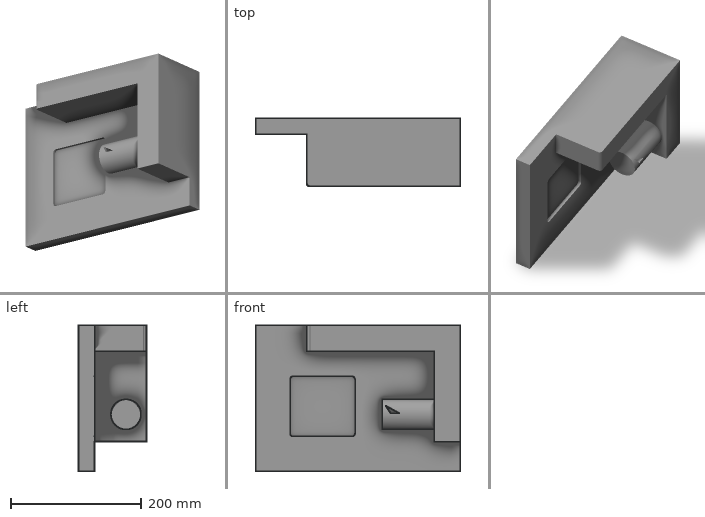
import cadquery as cq


plate_length = 315.0
plate_height = 225.0
plate_thickness = 25.0

overall_depth = 105.0
arm_start_x = 78.5
arm_height = 40.0
arm_corner_radius = 5.0
post_width = 40.5
post_bottom_z = 46.0

pin_diameter = 46.26
pin_length = 80.0
pin_center_y = 31.8
pin_center_z = 87.7

slot_lower_z = 89.5
slot_lower_left_x = 207.6
slot_lower_right_x = 221.0
slot_tip_x = 200
slot_tip_z = 101.0

pocket_left_x = 53.0
pocket_bottom_z = 53.8
pocket_width = 100.0
pocket_height = 92.5
pocket_depth = 5.0
pocket_corner_radius = 5.0

plate_front_y = overall_depth - plate_thickness
post_left_x = plate_length - post_width
arm_bottom_z = plate_height - arm_height


def block(x_min, x_max, y_min, y_max, z_min, z_max):
    """Box given by its limits along each axis."""
    size = (x_max - x_min, y_max - y_min, z_max - z_min)
    return cq.Workplane("XY").box(*size, centered=False).translate((x_min, y_min, z_min))


def make_plate():
    return block(0, plate_length, plate_front_y, overall_depth, 0, plate_height)


def make_arm():
    """Top arm with its free front corner rounded."""
    arm = block(arm_start_x, plate_length, 0, overall_depth, arm_bottom_z, plate_height)
    return arm.edges("|Z and <X and <Y").fillet(arm_corner_radius)


def make_post():
    return block(post_left_x, plate_length, 0, overall_depth, post_bottom_z, plate_height)


def make_pin():
    """Pin along X with the triangular slot cut through it."""
    pin = (
        cq.Workplane("YZ", origin=(post_left_x, pin_center_y, pin_center_z))
        .circle(pin_diameter / 2)
        .extrude(-pin_length)
    )
    slot = (
        cq.Workplane("XZ")
        .moveTo(slot_lower_left_x, slot_lower_z)
        .lineTo(slot_lower_right_x, slot_lower_z)
        .lineTo(slot_tip_x, slot_tip_z)
        .close()
        .extrude(-plate_front_y)
    )
    return pin.cut(slot)


def make_pocket():
    pocket = block(
        pocket_left_x,
        pocket_left_x + pocket_width,
        plate_front_y,
        plate_front_y + pocket_depth,
        pocket_bottom_z,
        pocket_bottom_z + pocket_height,
    )
    return pocket.edges("|Y").fillet(pocket_corner_radius)


result = make_plate().union(make_arm()).union(make_post()).union(make_pin()).cut(make_pocket())